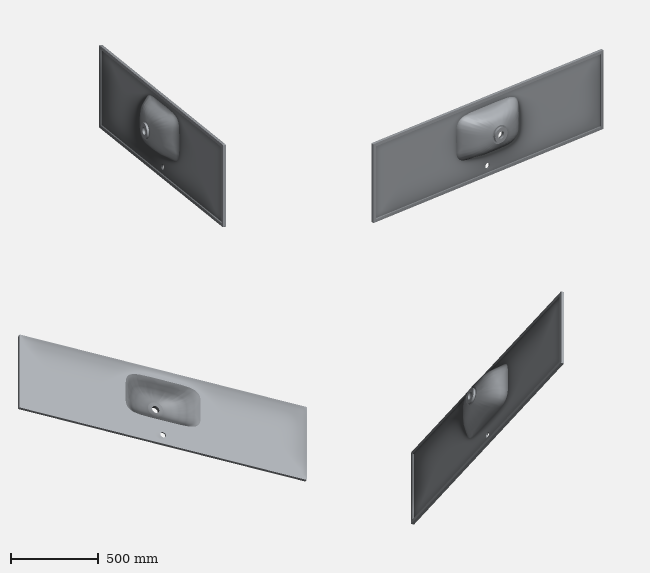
import cadquery as cq
import math

length = 1800.0
height = 500.0
total_depth = 125.0
rim_depth = 18.0
rim_width = 20.0
corner_radius = 4.0
panel_thickness = 9.0

basin_z = 47.0
wall = 9.0
basin_sections = [
    (panel_thickness, 245.0, 148.0, 5.0),
    (20.0, 234.0, 139.0, 4.9),
    (45.0, 210.0, 128.0, 4.5),
    (80.0, 165.0, 110.0, 3.6),
    (97.0, 120.0, 90.0, 2.8),
    (112.0, 58.0, 58.0, 2.0),
]
section_points = 48
drain_boss_diameter = 95.0
drain_hole_diameter = 45.0

tap_hole_diameter = 35.0
tap_hole_z = 61.0 - height / 2


def plane_at_depth(depth):
    """XZ plane at a depth below the show face, with its normal along -Y."""
    return cq.Workplane("XZ", origin=(0, -depth, 0))


def superellipse_wire(depth, half_width, half_height, exponent):
    """Closed smooth outline that goes from a soft rectangle to a circle as the exponent falls to 2."""
    points = []
    for i in range(section_points):
        angle = 2 * math.pi * i / section_points
        cosine = math.cos(angle)
        sine = math.sin(angle)
        radial = (abs(cosine) ** exponent + abs(sine) ** exponent) ** (-1 / exponent)
        x = half_width * radial * cosine
        z = basin_z + half_height * radial * sine
        points.append(cq.Vector(x, -depth, z))
    return cq.Wire.assembleEdges([cq.Edge.makeSpline(points, periodic=True)])


def basin_body(inset):
    """Smooth basin form, drawn in from the outer surface by the inset."""
    wires = [
        superellipse_wire(depth - inset, half_width - inset, half_height - inset, exponent)
        for depth, half_width, half_height, exponent in basin_sections
    ]
    return cq.Workplane(cq.Solid.makeLoft(wires))


def cylinder(diameter, z, start_depth, end_depth):
    return plane_at_depth(start_depth).center(0, z).circle(diameter / 2).extrude(end_depth - start_depth)


countertop = plane_at_depth(0).rect(length, height).extrude(rim_depth).edges("|Y").fillet(corner_radius)
underside_recess = (
    plane_at_depth(panel_thickness)
    .rect(length - 2 * rim_width, height - 2 * rim_width)
    .extrude(rim_depth - panel_thickness)
)
countertop = countertop.cut(underside_recess)

floor_depth = basin_sections[-1][0]
drain_boss = cylinder(drain_boss_diameter, basin_z, floor_depth - wall, total_depth)
result = countertop.union(basin_body(0)).union(drain_boss).cut(basin_body(wall))

result = result.cut(cylinder(drain_hole_diameter, basin_z, 0, total_depth))
result = result.cut(cylinder(tap_hole_diameter, tap_hole_z, 0, rim_depth))